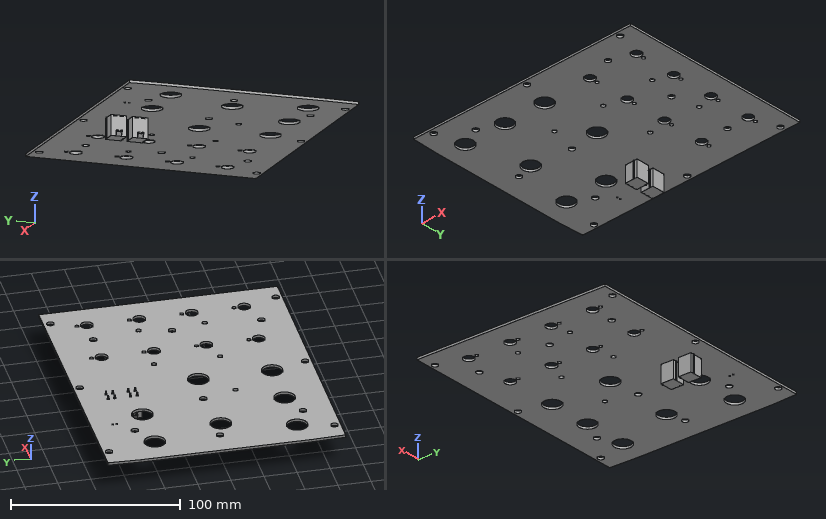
import cadquery as cq
PANEL_THICKNESS = 1.8
PANEL_RIGHT_X = 88.8
PANEL_LEFT_X = -88.8
PANEL_BOTTOM_Y = -72.1
PANEL_TOP_Y = 72.3
TOP_RIGHT_X = 88.7
TOP_LEFT_X = -88.0
TOP_LEFT_Y = 71.6
BOTTOM_LEFT_X = -88.1
LEFT_UPPER_BEND_Y = 51.7
LEFT_LOWER_BEND_Y = -51.4
PANEL_OUTLINE = [
    (BOTTOM_LEFT_X, PANEL_BOTTOM_Y),
    (PANEL_RIGHT_X, PANEL_BOTTOM_Y),
    (TOP_RIGHT_X, PANEL_TOP_Y),
    (TOP_LEFT_X, TOP_LEFT_Y),
    (PANEL_LEFT_X, LEFT_UPPER_BEND_Y),
    (PANEL_LEFT_X, LEFT_LOWER_BEND_Y),
]

MOUNT_DIAMETER = 4.3
MOUNT_PITCH_X = 76.0
MOUNT_CENTER_X = 0.7
MOUNT_TOP_Y = 68.0
MOUNT_BOTTOM_Y = -68.2

STANDOFF_PITCH_Y = 50.8
STANDOFF_MIDDLE_Y = -3.2
STANDOFF_LEFT_X = -54.7
STANDOFF_RIGHT_X = 53.1
STANDOFF_MIDDLE_XS = [-71.3, -28.0, STANDOFF_RIGHT_X]
STANDOFF_MIDDLE_HOLE_Y = 0.0

LARGE_DIAMETER = 12.6
LARGE_LEFT_X = -70.0
LARGE_MIDDLE_X = -37.7
LARGE_RIGHT_X = -5.3
LARGE_TOP_Y = 39.1
LARGE_BOTTOM_Y = -47.0
LARGE_CENTERS = [
    (LARGE_LEFT_X, LARGE_TOP_Y),
    (LARGE_MIDDLE_X, LARGE_TOP_Y),
    (-58.3, -3.5),
    (LARGE_RIGHT_X, -2.3),
    (LARGE_LEFT_X, LARGE_BOTTOM_Y),
    (LARGE_MIDDLE_X, LARGE_BOTTOM_Y),
    (LARGE_RIGHT_X, LARGE_BOTTOM_Y),
]

JACK_DIAMETER = 7.5
JACK_XS = [32.3, 70.4]
JACK_TOP_Y = 47.5
JACK_BOTTOM_Y = -47.6
JACK_ROWS = 4
JACK_PITCH_Y = (JACK_TOP_Y - JACK_BOTTOM_Y) / (JACK_ROWS - 1)
KEY_DIAMETER = 2.3
KEY_OFFSET_Y = 6.0

SCREW_DIAMETER = 3.0
SCREW_LEFT_X = -22.4
SCREW_MIDDLE_X = 17.5
SCREW_RIGHT_X = 57.4
SCREW_TOP_Y = 19.2
SCREW_BOTTOM_Y = -20.8
SCREW_CENTERS = [
    (SCREW_MIDDLE_X, SCREW_TOP_Y),
    (SCREW_RIGHT_X, SCREW_TOP_Y),
    (SCREW_LEFT_X, SCREW_BOTTOM_Y),
    (SCREW_MIDDLE_X, SCREW_BOTTOM_Y),
    (SCREW_RIGHT_X, SCREW_BOTTOM_Y),
]

LEAD_DIAMETER = 0.9
LEAD_X = -45.0
LEAD_YS = [56.2, 58.8]

CONNECTOR_X = -12.8
CONNECTOR_YS = [52.6, 39.1]
PIN_HOLE_DIAMETER = 1.4
PIN_WIDTH = 0.7
PIN_PITCH_X = 5.5
PIN_PITCH_Y = 4.0
PIN_RISE = 1.8
HOUSING_LENGTH_X = 9.6
HOUSING_LENGTH_Y = 9.6
HOUSING_SHIFT_X = 0.2
HOUSING_HEIGHT = 12.8
RIB_WIDTH = 0.7
RIB_DEPTH = 0.5
RIB_X = 2.7
LATCH_WIDTH = 3.4
LATCH_REACH = 1.5
LATCH_HEIGHT = 3.4
LATCH_LIP = 0.9
LATCH_GAP = 1.6
NOTCH_WIDTH = 2.0
NOTCH_HEIGHT = 0.5
NOTCH_DEPTH = 0.5


def pin_centers(connector_y):
    return [
        (CONNECTOR_X + side_x * PIN_PITCH_X / 2, connector_y + side_y * PIN_PITCH_Y / 2)
        for side_x in (-1, 1)
        for side_y in (-1, 1)
    ]


def drill(body, centers, diameter):
    tools = (
        cq.Workplane("XY").pushPoints(centers).circle(diameter / 2).extrude(PANEL_THICKNESS)
    )
    return body.cut(tools)


def make_panel():
    mounts = [
        (MOUNT_CENTER_X + column * MOUNT_PITCH_X, y)
        for column in (-1, 0, 1)
        for y in (MOUNT_TOP_Y, MOUNT_BOTTOM_Y)
    ]
    standoffs = [
        (x, STANDOFF_MIDDLE_Y + side * STANDOFF_PITCH_Y)
        for x in (STANDOFF_LEFT_X, STANDOFF_RIGHT_X)
        for side in (-1, 1)
    ]
    standoffs += [(x, STANDOFF_MIDDLE_HOLE_Y) for x in STANDOFF_MIDDLE_XS]
    jacks = [(x, JACK_TOP_Y - row * JACK_PITCH_Y) for x in JACK_XS for row in range(JACK_ROWS)]
    keys = [(x, y + KEY_OFFSET_Y) for x, y in jacks]
    leads = [(LEAD_X, y) for y in LEAD_YS]

    panel = cq.Workplane("XY").polyline(PANEL_OUTLINE).close().extrude(PANEL_THICKNESS)
    panel = drill(panel, mounts + standoffs, MOUNT_DIAMETER)
    panel = drill(panel, LARGE_CENTERS, LARGE_DIAMETER)
    panel = drill(panel, jacks, JACK_DIAMETER)
    panel = drill(panel, keys, KEY_DIAMETER)
    panel = drill(panel, SCREW_CENTERS, SCREW_DIAMETER)
    panel = drill(panel, leads, LEAD_DIAMETER)
    for connector_y in CONNECTOR_YS:
        panel = drill(panel, pin_centers(connector_y), PIN_HOLE_DIAMETER)
    return panel


def box(size_x, size_y, size_z, x, y, top):
    """Box centered on (x, y) that hangs down from the height `top`."""
    return cq.Workplane("XY", origin=(x, y, top)).rect(size_x, size_y).extrude(-size_z)


def make_latch(face_x, y):
    """Ramp at the foot of the housing's -X face, with a gap through the middle of its lip."""
    top = LATCH_HEIGHT - HOUSING_HEIGHT
    latch = (
        cq.Workplane("XZ", origin=(face_x, y + LATCH_WIDTH / 2, 0))
        .moveTo(0, top)
        .lineTo(-LATCH_REACH, top)
        .lineTo(-LATCH_REACH, top - LATCH_LIP)
        .lineTo(0, -HOUSING_HEIGHT)
        .close()
        .extrude(LATCH_WIDTH)
    )
    return latch.cut(box(2 * LATCH_REACH, LATCH_GAP, LATCH_LIP, face_x - LATCH_REACH, y, top))


def make_connector(y):
    housing_x = CONNECTOR_X + HOUSING_SHIFT_X
    face_x = housing_x - HOUSING_LENGTH_X / 2
    housing = box(HOUSING_LENGTH_X, HOUSING_LENGTH_Y, HOUSING_HEIGHT, housing_x, y, 0)
    ribs = box(
        RIB_WIDTH, HOUSING_LENGTH_Y + 2 * RIB_DEPTH, HOUSING_HEIGHT, CONNECTOR_X + RIB_X, y, 0
    )
    connector = housing.union(ribs).union(make_latch(face_x, y))
    for side in (-1, 1):
        notch_y = y + side * PIN_PITCH_Y / 2
        notch = box(2 * NOTCH_DEPTH, NOTCH_WIDTH, NOTCH_HEIGHT, face_x, notch_y, 0)
        connector = connector.cut(notch)
    pins = (
        cq.Workplane("XY")
        .pushPoints(pin_centers(y))
        .rect(PIN_WIDTH, PIN_WIDTH)
        .extrude(PANEL_THICKNESS + PIN_RISE)
    )
    return connector.union(pins)


panel = make_panel()
connectors = [make_connector(y) for y in CONNECTOR_YS]
result = cq.Compound.makeCompound([panel.val(), *[body.val() for body in connectors]])